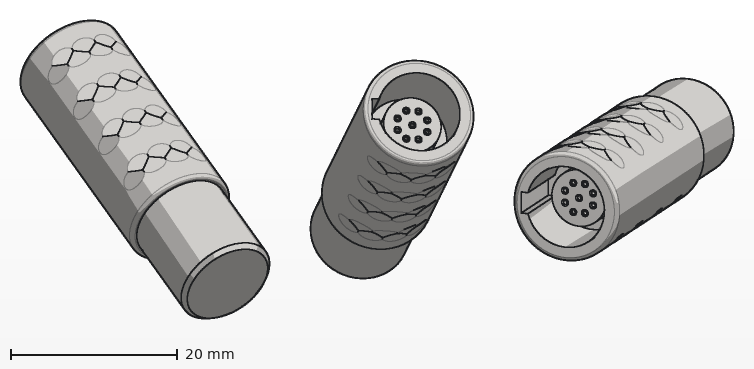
import cadquery as cq
import math

total_length = 41.0
barrel_length = 29.0
barrel_radius = 6.75
barrel_edge_fillet = 0.5
sleeve_radius = 6.0
sleeve_edge_chamfer = 0.55

socket_radius = 5.0
socket_depth = 9.0
keyway_width = 2.6
keyway_reach = 5.7

insert_radius = 3.5
insert_face_x = 4.5

ring_contact_count = 8
contact_circle_radius = 1.95
contact_mouth_radius = 0.42
contact_bore_radius = 0.25
contact_lead_in_depth = 0.17
contact_bore_depth = 1.0

dimple_depth = 0.19
dimple_half_width = 1.22
dimple_step_angle = 13.0
dimple_steps_each_side = 3
dimple_band_count = 4
dimple_band_pitch = 6.5
first_band_x = 4.1
dimple_stagger = 1.15
dimple_cutter_length = 8.0
dimple_cutter_radius = (dimple_half_width**2 + dimple_depth**2) / (2 * dimple_depth)


def x_cylinder(radius, start, length, y=0.0, z=0.0):
    """Cylinder along +X from X = start."""
    return cq.Workplane("YZ", origin=(start, y, z)).circle(radius).extrude(length)


def make_body():
    barrel = x_cylinder(barrel_radius, 0, barrel_length).edges().fillet(barrel_edge_fillet)
    sleeve = x_cylinder(sleeve_radius, 0, total_length)
    sleeve = sleeve.faces(">X").edges().chamfer(sleeve_edge_chamfer)
    return barrel.union(sleeve)


def make_socket():
    bore = x_cylinder(socket_radius, 0, socket_depth)
    keyway = cq.Workplane("XY").box(
        socket_depth, keyway_reach, keyway_width, centered=(False, False, True)
    )
    insert = x_cylinder(insert_radius, insert_face_x, socket_depth - insert_face_x)
    return bore.union(keyway).cut(insert)


def contact_positions():
    positions = [(0.0, 0.0)]
    angle_step = 2 * math.pi / ring_contact_count
    for index in range(ring_contact_count):
        angle = (index + 0.5) * angle_step
        y = contact_circle_radius * math.cos(angle)
        z = contact_circle_radius * math.sin(angle)
        positions.append((y, z))
    return positions


def make_contact(y, z):
    """Contact bore with a conical lead-in at the insert face."""
    bore = x_cylinder(contact_bore_radius, insert_face_x, contact_bore_depth, y, z)
    lead_in = cq.Solid.makeCone(
        contact_mouth_radius,
        contact_bore_radius,
        contact_lead_in_depth,
        pnt=cq.Vector(insert_face_x, y, z),
        dir=cq.Vector(1, 0, 0),
    )
    return bore.union(cq.Workplane(lead_in))


def make_dimple(x, angle):
    """Cutter for one dimple, turned about X from the top of the barrel by the angle."""
    axis_height = barrel_radius - dimple_depth + dimple_cutter_radius
    cutter = cq.Workplane("XZ", origin=(x, dimple_cutter_length / 2, axis_height))
    cutter = cutter.circle(dimple_cutter_radius).extrude(dimple_cutter_length)
    return cutter.rotate((0, 0, 0), (1, 0, 0), angle)


def cut_grip(body):
    """Zigzag bands of dimples on the top and bottom; every odd step is shifted along X."""
    for side_angle in (0, 180):
        for band in range(dimple_band_count):
            band_x = first_band_x + band * dimple_band_pitch
            for step in range(-dimple_steps_each_side, dimple_steps_each_side + 1):
                x = band_x + (step % 2) * dimple_stagger
                angle = side_angle + step * dimple_step_angle
                body = body.cut(make_dimple(x, angle))
    return body


result = cut_grip(make_body())
result = result.cut(make_socket())
for contact_y, contact_z in contact_positions():
    result = result.cut(make_contact(contact_y, contact_z))